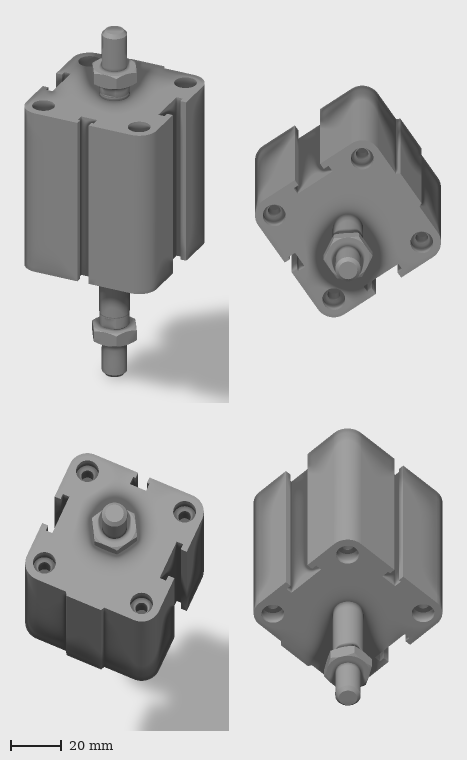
import cadquery as cq
import math


housing_width = 57.0
housing_height = 70.5
corner_radius = 7.5
pad_width = 15.0
pad_height = 1.5
pad_flare = 0.8
bolt_spacing = 42.0
bolt_hole_diameter = 4.9
counterbore_diameter = 9.0
counterbore_depth = 6.1
bolt_hole_depth = 14.5
side_slot_mouth = 12.0
side_slot_width = 16.6
side_slot_lip = 2.6
side_slot_depth = 5.3
front_slot_mouth = 4.9
front_slot_width = 7.0
front_slot_lip = 2.5
front_slot_depth = 5.6

total_length = 152.5
stroke = 25.0
rod_diameter = 12.0
shoulder_diameter = 11.7
thread_diameter = 10.0
wrench_width = 10.0
thread_length = 22.0
shoulder_length = 5.6
shoulder_chamfer = 0.5
rim_taper_length = 0.5
flat_length = 4.9
tip_chamfer_width = 1.4
tip_chamfer_length = 1.5

nut_across_flats = 17.0
nut_thickness = 6.0
nut_chamfer_angle = 30

half_width = housing_width / 2
rod_stickout = (total_length - housing_height - stroke) / 2
rod_top = housing_height + rod_stickout
rod_bottom = rod_top - total_length
rod_middle = (rod_top + rod_bottom) / 2


def make_t_slot(mouth, width, lip, depth):
    """T-slot cutter over the full height, opening in the -Y face of the housing."""
    face_y = -half_width
    neck = cq.Workplane("XY").center(0, face_y).rect(mouth, 2 * depth)
    neck = neck.extrude(housing_height)
    head_depth = depth - lip
    head = cq.Workplane("XY").center(0, face_y + lip + head_depth / 2).rect(width, head_depth)
    return neck.union(head.extrude(housing_height))


def make_housing():
    body = cq.Workplane("XY").rect(housing_width, housing_width).extrude(housing_height)
    body = body.edges("|Z").fillet(corner_radius)

    pad_base = pad_width / 2 + pad_flare
    pad = (
        cq.Workplane("XY")
        .polyline([
            (-pad_base, 0),
            (-pad_base, half_width),
            (-pad_width / 2, half_width + pad_height),
            (pad_width / 2, half_width + pad_height),
            (pad_base, half_width),
            (pad_base, 0),
        ])
        .close()
        .extrude(housing_height)
    )
    body = body.union(pad)

    front_slot = make_t_slot(front_slot_mouth, front_slot_width, front_slot_lip, front_slot_depth)
    body = body.cut(front_slot)
    side_slot = make_t_slot(side_slot_mouth, side_slot_width, side_slot_lip, side_slot_depth)
    for angle in (-90, 90):
        body = body.cut(side_slot.rotate((0, 0, 0), (0, 0, 1), angle))

    for face in (">Z", "<Z"):
        body = (
            body.faces(face)
            .workplane(origin=(0, 0, 0))
            .rect(bolt_spacing, bolt_spacing, forConstruction=True)
            .vertices()
            .cboreHole(bolt_hole_diameter, counterbore_diameter, counterbore_depth, bolt_hole_depth)
        )

    return body.cut(cq.Workplane("XY").circle(rod_diameter / 2).extrude(housing_height))


def make_rod():
    thread_start = rod_top - thread_length
    shoulder_start = thread_start - shoulder_length
    upper_half = (
        cq.Workplane("XZ")
        .polyline([
            (0, rod_middle),
            (rod_diameter / 2, rod_middle),
            (rod_diameter / 2, shoulder_start),
            (shoulder_diameter / 2, shoulder_start + rim_taper_length),
            (shoulder_diameter / 2, thread_start - shoulder_chamfer),
            (shoulder_diameter / 2 - shoulder_chamfer, thread_start),
            (thread_diameter / 2, thread_start),
            (thread_diameter / 2, rod_top - tip_chamfer_length),
            (thread_diameter / 2 - tip_chamfer_width, rod_top),
            (0, rod_top),
        ])
        .close()
        .revolve(360, (0, 0, 0), (0, 1, 0))
    )

    for side in (-1, 1):
        flat = (
            cq.Workplane("XY", origin=(0, side * (wrench_width + rod_diameter) / 2, thread_start))
            .rect(rod_diameter, rod_diameter)
            .extrude(-flat_length)
        )
        upper_half = upper_half.cut(flat)

    lower_half = upper_half.mirror("XY", (0, 0, rod_middle))
    return upper_half.union(lower_half)


def make_nut(bottom_z):
    across_corners = nut_across_flats / math.cos(math.pi / 6)
    nut = cq.Workplane("XY").polygon(6, across_corners).extrude(nut_thickness)

    flat_radius = nut_across_flats / 2
    corner_radius_out = across_corners / 2
    chamfer_height = (corner_radius_out - flat_radius) * math.tan(math.radians(nut_chamfer_angle))
    envelope = (
        cq.Workplane("XZ")
        .polyline([
            (0, 0),
            (flat_radius, 0),
            (corner_radius_out, chamfer_height),
            (corner_radius_out, nut_thickness - chamfer_height),
            (flat_radius, nut_thickness),
            (0, nut_thickness),
        ])
        .close()
        .revolve(360, (0, 0, 0), (0, 1, 0))
    )
    nut = nut.intersect(envelope)
    nut = nut.cut(cq.Workplane("XY").circle(thread_diameter / 2).extrude(nut_thickness))
    return nut.translate((0, 0, bottom_z))


housing = make_housing()
rod = make_rod()

upper_nut_z = rod_top - thread_length
lower_nut_z = rod_bottom + thread_length - nut_thickness
nuts = [make_nut(bottom_z) for bottom_z in (upper_nut_z, lower_nut_z)]

result = cq.Compound.makeCompound([housing.val(), rod.val(), *[nut.val() for nut in nuts]])